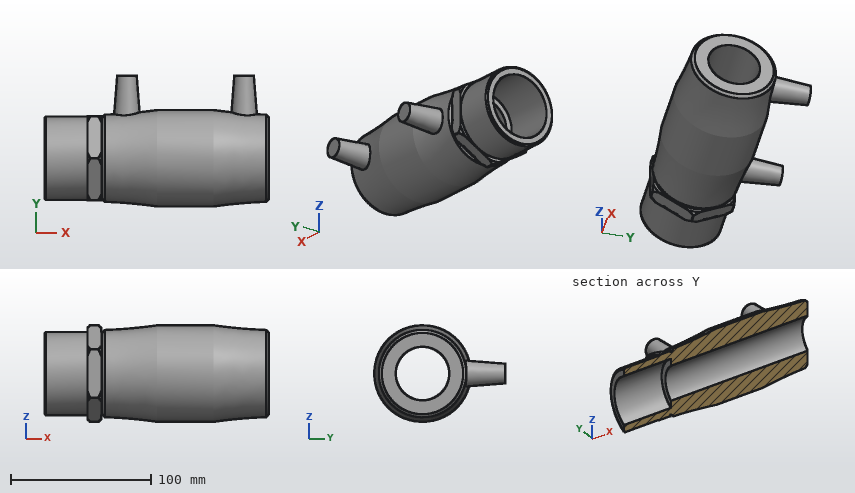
import cadquery as cq
import math

total_length = 160.0
body_length = 119.0
body_start = total_length - body_length
band_length = 40.0
band_start = body_start + (body_length - band_length) / 2
band_end = band_start + band_length
body_centre = (band_start + band_end) / 2

band_radius = 69.0 / 2
end_radius = 31.2
body_chamfer = 2.2
taper_sag = 0.5

spigot_radius = 59.61 / 2
spigot_chamfer = 1.2

hex_sides = 6
hex_flats = 60.0
hex_start = 30.5
hex_width = 10.0
hex_round_radius = 69.0 / 2
hex_corner_chamfer = 2.0

shroud_spacing = 83.5
shroud_tip_y = 59.0
shroud_tip_radius = 14.2 / 2
shroud_foot_y = 31.0
shroud_foot_radius = 18.6 / 2
shroud_root_y = 25.0

through_radius = 38.0 / 2
spigot_bore_radius = 47.69 / 2
spigot_bore_depth = body_start


def cylinder(radius, start, end):
    return cq.Workplane("YZ").workplane(offset=start).circle(radius).extrude(end - start)


def taper_middle(end_x, band_x):
    """Point halfway along a taper, pulled inward from the straight line by the sag."""
    return ((end_x + band_x) / 2, (end_radius + band_radius) / 2 - taper_sag)


def make_body():
    left_rim = body_start + body_chamfer
    right_rim = total_length - body_chamfer
    face_radius = end_radius - body_chamfer
    return (
        cq.Workplane("XY")
        .moveTo(body_start, 0)
        .lineTo(body_start, face_radius)
        .lineTo(left_rim, end_radius)
        .threePointArc(taper_middle(left_rim, band_start), (band_start, band_radius))
        .lineTo(band_end, band_radius)
        .threePointArc(taper_middle(right_rim, band_end), (right_rim, end_radius))
        .lineTo(total_length, face_radius)
        .lineTo(total_length, 0)
        .close()
        .revolve(360, (0, 0, 0), (1, 0, 0))
    )


def make_spigot():
    return cylinder(spigot_radius, 0, body_start).faces("<X").chamfer(spigot_chamfer)


def make_hexagon():
    corner_diameter = hex_flats / math.cos(math.pi / hex_sides)
    prism = (
        cq.Workplane("YZ")
        .workplane(offset=hex_start)
        .polygon(hex_sides, corner_diameter)
        .extrude(hex_width)
        .rotate((0, 0, 0), (1, 0, 0), 90)
    )
    rounding = cylinder(hex_round_radius, hex_start, hex_start + hex_width)
    return prism.intersect(rounding.edges().chamfer(hex_corner_chamfer))


def make_shroud(x):
    """Tapered terminal shroud whose root is buried in the body wall."""
    slope = (shroud_foot_radius - shroud_tip_radius) / (shroud_tip_y - shroud_foot_y)
    root_radius = shroud_foot_radius + slope * (shroud_foot_y - shroud_root_y)
    cone = cq.Solid.makeCone(
        root_radius,
        shroud_tip_radius,
        shroud_tip_y - shroud_root_y,
        pnt=cq.Vector(x, shroud_root_y, 0),
        dir=cq.Vector(0, 1, 0),
    )
    return cq.Workplane(cone)


result = make_body().union(make_spigot()).union(make_hexagon())
for side in (-1, 1):
    result = result.union(make_shroud(body_centre + side * shroud_spacing / 2))

result = result.cut(cylinder(through_radius, 0, total_length))
result = result.cut(cylinder(spigot_bore_radius, 0, spigot_bore_depth))